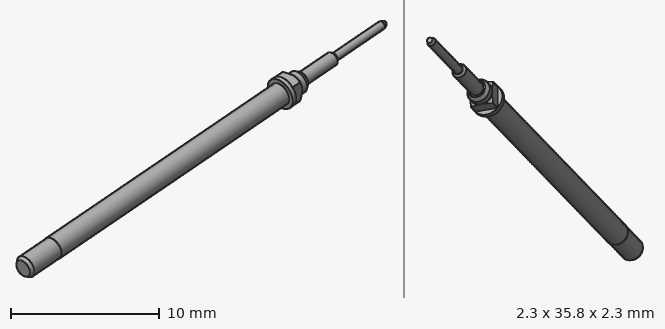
import cadquery as cq
import math

length = 35.8
tip_y = length / 2
base_y = -length / 2

tip_dia = 0.4
needle_dia = 0.6
sleeve_tip_dia = 0.68
sleeve_dia = 1.0
collar_tip_dia = 1.25
body_dia = 1.65
flange_dia = 2.3
cap_dia = 1.6
cap_end_dia = 1.25

needle_length = 5.0
sleeve_length = 3.22
collar_length = 0.8
neck_length = 0.95
flange_thickness = 0.35
cap_length = 2.95

tip_taper = 0.3
sleeve_taper = 0.18
collar_taper = 0.32
cap_taper = 0.25

neck_width = 1.6
neck_corner_dia = neck_width * math.sqrt(2)
neck_cone_angle = 30.0

sleeve_y = tip_y - needle_length
collar_y = sleeve_y - sleeve_length
neck_y = collar_y - collar_length
flange_y = neck_y - neck_length
body_y = flange_y - flange_thickness
cap_y = base_y + cap_length


def round_section(start_y, end_y, dia, start_dia=None, start_taper=0.0, end_dia=None, end_taper=0.0):
    """Cylinder from start_y up to end_y, tapered to start_dia and end_dia where these are given."""
    profile = cq.Workplane("XY").moveTo(0, start_y)
    if start_dia is not None:
        profile = profile.lineTo(start_dia / 2, start_y)
    profile = profile.lineTo(dia / 2, start_y + start_taper)
    profile = profile.lineTo(dia / 2, end_y - end_taper)
    if end_dia is not None:
        profile = profile.lineTo(end_dia / 2, end_y)
    return profile.lineTo(0, end_y).close().revolve(360, (0, 0, 0), (0, 1, 0))


def square_neck():
    """Square prism whose corners slope back from the collar towards the flange."""
    prism = (
        cq.Workplane("XZ", origin=(0, flange_y, 0))
        .rect(neck_width, neck_width)
        .extrude(-neck_length)
    )
    corner_height = (neck_corner_dia - neck_width) / 2
    corner_taper = corner_height * math.tan(math.radians(neck_cone_angle))
    corner_cone = round_section(
        flange_y, neck_y, neck_corner_dia, end_dia=neck_width, end_taper=corner_taper
    )
    return prism.intersect(corner_cone)


cap = round_section(base_y, cap_y, cap_dia, start_dia=cap_end_dia, start_taper=cap_taper)
body = round_section(cap_y, body_y, body_dia)
flange = round_section(body_y, flange_y, flange_dia)
collar = round_section(neck_y, collar_y, body_dia, end_dia=collar_tip_dia, end_taper=collar_taper)
sleeve = round_section(collar_y, sleeve_y, sleeve_dia, end_dia=sleeve_tip_dia, end_taper=sleeve_taper)
needle = round_section(sleeve_y, tip_y, needle_dia, end_dia=tip_dia, end_taper=tip_taper)

result = cap
for piece in (body, flange, square_neck(), collar, sleeve, needle):
    result = result.union(piece)